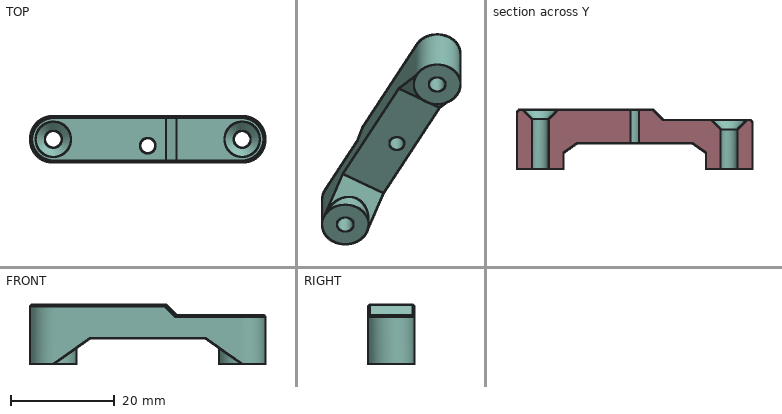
import cadquery as cq
import math

length = 45.34
width = 9.0
height = 11.47

post_radius = width / 2
hole_spacing = length - width
beam_underside = 4.97
step_height = 2.0
low_top = height - step_height
step_start_x = 3.5
step_end_x = step_start_x + step_height
edge_chamfer = 0.4

gusset_angle = 35.0
gusset_reach = beam_underside / math.tan(math.radians(gusset_angle))

screw_hole_diameter = 3.2
countersink_diameter = 6.8
countersink_angle = 90.0

pilot_hole_diameter = 2.9
pilot_hole_x = 0.0
pilot_hole_y = -1.23

post_axis_x = hole_spacing / 2
post_centers = [(-post_axis_x, 0), (post_axis_x, 0)]


def stepped_envelope():
    """Round-ended bar cut to the stepped top profile, its top rim chamfered."""
    bar = cq.Workplane("XY").slot2D(length, width).extrude(height)
    half_length = length / 2
    above_step = (
        cq.Workplane("XZ")
        .moveTo(step_start_x, height)
        .lineTo(step_end_x, low_top)
        .lineTo(half_length, low_top)
        .lineTo(half_length, height)
        .close()
        .extrude(post_radius, both=True)
    )
    bar = bar.cut(above_step)

    upper_region = cq.selectors.BoxSelector((-length, -width, beam_underside), (length, width, 2 * height))
    upright_and_cross_edges = cq.selectors.StringSyntaxSelector("|Y or |Z")
    return bar.edges(upper_region - upright_and_cross_edges).chamfer(edge_chamfer)


def space_below_beam():
    """Region between the posts: beam underside and the two gusset slopes."""
    return (
        cq.Workplane("XZ")
        .moveTo(-post_axis_x, 0)
        .lineTo(-post_axis_x + gusset_reach, beam_underside)
        .lineTo(post_axis_x - gusset_reach, beam_underside)
        .lineTo(post_axis_x, 0)
        .close()
        .extrude(post_radius, both=True)
    )


def posts():
    """Round posts reaching from the base up to the beam underside."""
    return (
        cq.Workplane("XY")
        .pushPoints(post_centers)
        .circle(post_radius)
        .extrude(beam_underside)
    )


def drill_screw_hole(body, center, top_z):
    """Cut a countersunk through hole whose mouth lies at top_z."""
    return (
        body.copyWorkplane(cq.Workplane("XY", origin=(*center, top_z)))
        .cskHole(screw_hole_diameter, countersink_diameter, countersink_angle)
    )


def drill_pilot_hole(body):
    """Cut the plain through hole in the raised part of the beam."""
    drill = (
        cq.Workplane("XY")
        .center(pilot_hole_x, pilot_hole_y)
        .circle(pilot_hole_diameter / 2)
        .extrude(height)
    )
    return body.cut(drill)


result = stepped_envelope().cut(space_below_beam()).union(posts())
for post_center, mouth_z in zip(post_centers, (height, low_top)):
    result = drill_screw_hole(result, post_center, mouth_z)
result = drill_pilot_hole(result)